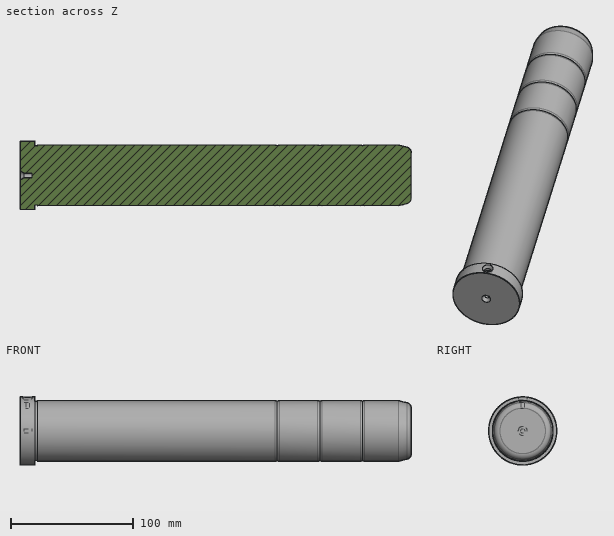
import cadquery as cq
import math

length = 320.0
head_radius = 56.0 / 2
head_thickness = 12.0
head_chamfer = 0.3
body_radius = 50.0 / 2

relief_width = 2.0
relief_depth = 0.5

groove_first_center = 210.2
groove_pitch = 35.0
groove_count = 3
groove_width = 3.5
groove_depth = 0.48

tip_length = 10.5
tip_taper_angle = 14.0
tip_fillet_radius = 4.8

countersink_angle = 60.0
axial_mouth_diameter = 7.5
axial_bore_diameter = 3.5
axial_hole_depth = 9.5
radial_mouth_diameter = 9.0
radial_bore_diameter = 5.8
radial_hole_depth = 4.8
radial_pilot_diameter = 3.0
radial_pilot_depth = 9.5


def revolve_about_x(points):
    """Revolve a closed outline of (x, radius) points about the X axis."""
    return cq.Workplane("XY").polyline(points).close().revolve(360, (0, 0, 0), (1, 0, 0))


def make_pin():
    """Headed pin with a tapered, rounded tip."""
    tip_face_radius = body_radius - tip_length * math.tan(math.radians(tip_taper_angle))
    pin = revolve_about_x([
        (0, 0),
        (0, head_radius - head_chamfer),
        (head_chamfer, head_radius),
        (head_thickness, head_radius),
        (head_thickness, body_radius),
        (length - tip_length, body_radius),
        (length, tip_face_radius),
        (length, 0),
    ])
    return pin.faces(">X").edges().fillet(tip_fillet_radius)


def make_relief():
    """Square-section ring cutting the relief behind the head."""
    return (
        cq.Workplane("YZ", origin=(head_thickness, 0, 0))
        .circle(body_radius)
        .circle(body_radius - relief_depth)
        .extrude(relief_width)
    )


def make_groove(center):
    """Triangular-section ring cutting one groove centred at the given X."""
    half_width = groove_width / 2
    return revolve_about_x([
        (center - half_width, body_radius),
        (center + half_width, body_radius),
        (center, body_radius - groove_depth),
    ])


def make_countersunk_hole(mouth_diameter, bore_diameter, depth):
    """Hole cutter along +X from the origin: a cone narrowing to a straight bore."""
    mouth_radius = mouth_diameter / 2
    bore_radius = bore_diameter / 2
    cone_depth = (mouth_radius - bore_radius) / math.tan(math.radians(countersink_angle / 2))
    return revolve_about_x([
        (0, 0),
        (0, mouth_radius),
        (cone_depth, bore_radius),
        (depth, bore_radius),
        (depth, 0),
    ])


result = make_pin().cut(make_relief())
for index in range(groove_count):
    result = result.cut(make_groove(groove_first_center + index * groove_pitch))

axial_hole = make_countersunk_hole(axial_mouth_diameter, axial_bore_diameter, axial_hole_depth)
result = result.cut(axial_hole)

radial_hole = (
    make_countersunk_hole(radial_mouth_diameter, radial_bore_diameter, radial_hole_depth)
    .union(cq.Workplane("YZ").circle(radial_pilot_diameter / 2).extrude(radial_pilot_depth))
    .rotate((0, 0, 0), (0, 1, 0), 90)
    .translate((head_thickness / 2, 0, head_radius))
)
result = result.cut(radial_hole)